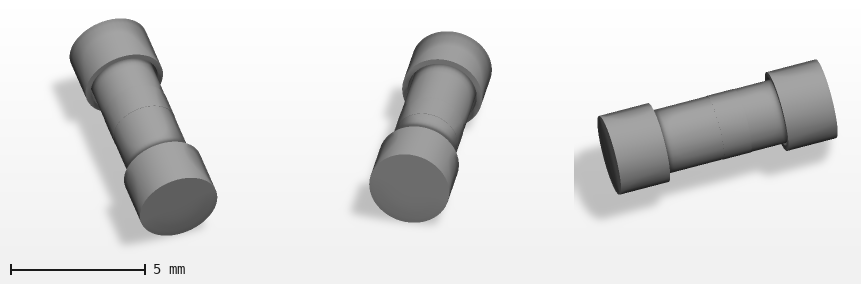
import cadquery as cq

total_length = 8.4
cap_length = 1.91
cap_diameter = 3.02
cap_bore_diameter = 2.61
body_diameter = 2.42
band_diameter = 2.445
band_start = 3.24
band_width = 1.07

cap_wall = (cap_diameter - cap_bore_diameter) / 2
bore_depth = cap_length - cap_wall


def cylinder_along_x(start, length, diameter):
    """Solid cylinder whose near face lies `start` from the -X end face."""
    plane = cq.Workplane("YZ", origin=(start - total_length / 2, 0, 0))
    return plane.circle(diameter / 2).extrude(length)


def end_cap(cap_start, bore_start):
    """Cup-shaped cap, open towards the middle of the part."""
    shell = cylinder_along_x(cap_start, cap_length, cap_diameter)
    return shell.cut(cylinder_along_x(bore_start, bore_depth, cap_bore_diameter))


body = cylinder_along_x(0, total_length, body_diameter)

band = cylinder_along_x(band_start, band_width, band_diameter)

left_cap = end_cap(0, cap_wall)
right_cap_start = total_length - cap_length
right_cap = end_cap(right_cap_start, right_cap_start)

result = body.union(band).union(left_cap).union(right_cap)